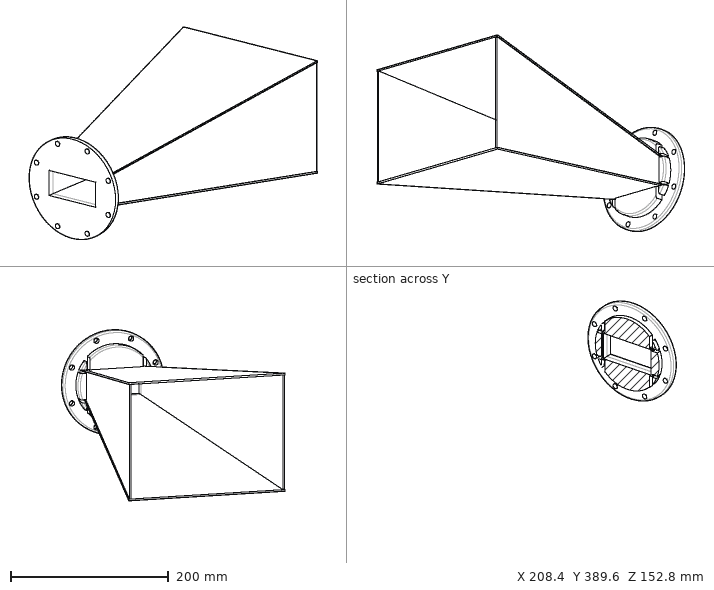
import cadquery as cq
import math


total_length = 389.64
guide_width = 72.14
guide_height = 34.04

flange_diameter = 134.94
flange_thickness = 7.94
hub_diameter = 101.6
hub_length = 11.11
rim_fillet = 2.38

bolt_count = 8
bolt_diameter = 6.58
bolt_circle_diameter = 121.0

upright_slot_inner_gap = 70.8
upright_slot_width = 4.4

plate_thickness = 2.38
mouth_width = 202.4
mouth_height = 148.1
broad_plate_mouth_width = 208.43
broad_plate_throat_width = 78.8

horn_length = total_length - flange_thickness
hub_end = flange_thickness + hub_length


def disk(diameter, start, length):
    """Round disk along +Y with its far rim rounded."""
    plane = cq.Workplane("XZ", origin=(0, start, 0))
    return plane.circle(diameter / 2).extrude(-length).faces(">Y").edges().fillet(rim_fillet)


def axial_box(width, height, start, length):
    """Box centred on the Y axis, from Y = start over the given length."""
    return cq.Workplane("XZ", origin=(0, start, 0)).rect(width, height).extrude(-length)


def make_flange():
    flange = disk(flange_diameter, 0, flange_thickness)
    bolt_holes = (
        cq.Workplane("XZ")
        .polarArray(bolt_circle_diameter / 2, 180 / bolt_count, 360, bolt_count)
        .circle(bolt_diameter / 2)
        .extrude(-flange_thickness)
    )
    opening = axial_box(guide_width, guide_height, 0, flange_thickness)
    return flange.cut(bolt_holes).cut(opening)


def level_slot():
    """Slot above the waveguide: its lower wall is flat, its upper wall slopes with the horn."""
    inner = guide_height / 2
    outer = inner + plate_thickness
    rise = (mouth_height - guide_height) / 2 * hub_length / horn_length
    profile = [
        (flange_thickness, inner),
        (hub_end, inner),
        (hub_end, outer + rise),
        (flange_thickness, outer),
    ]
    return cq.Workplane("YZ").polyline(profile).close().extrude(hub_diameter / 2, both=True)


def make_hub():
    """Disk with a clearance opening for the horn throat and two pairs of crossing slots."""
    hub = disk(hub_diameter, flange_thickness, hub_length)
    clear_width = upright_slot_inner_gap + 2 * upright_slot_width
    hub = hub.cut(axial_box(clear_width, guide_height, flange_thickness, hub_length))
    upper_slot = level_slot()
    hub = hub.cut(upper_slot).cut(upper_slot.mirror("XY"))
    upright_slot = axial_box(upright_slot_width, hub_diameter, flange_thickness, hub_length)
    upright_slot_offset = (upright_slot_inner_gap + upright_slot_width) / 2
    for side in (-1, 1):
        hub = hub.cut(upright_slot.translate((side * upright_slot_offset, 0, 0)))
    return hub


def horn_plate(throat_gap, mouth_gap, throat_width, mouth_width_across):
    """Upper sloping plate; the gaps are the clear distances between it and its opposite."""
    rise = (mouth_gap - throat_gap) / 2
    slant_length = math.hypot(horn_length, rise)
    inner_face = cq.Plane(
        origin=(0, flange_thickness, throat_gap / 2),
        xDir=(1, 0, 0),
        normal=(0, -rise, horn_length),
    )
    outline = [
        (-throat_width / 2, 0),
        (throat_width / 2, 0),
        (mouth_width_across / 2, slant_length),
        (-mouth_width_across / 2, slant_length),
    ]
    return cq.Workplane(inner_face).polyline(outline).close().extrude(plate_thickness)


def make_horn():
    """Broad plates above and below overhang the side plates held between them."""
    broad_plate = horn_plate(
        guide_height, mouth_height, broad_plate_throat_width, broad_plate_mouth_width
    )
    side_plate = horn_plate(guide_width, mouth_width, guide_height, mouth_height)
    horn = broad_plate.union(broad_plate.mirror("XY"))
    for turn in (-90, 90):
        horn = horn.union(side_plate.rotate((0, 0, 0), (0, 1, 0), turn))
    return horn


result = make_flange().union(make_hub()).union(make_horn())